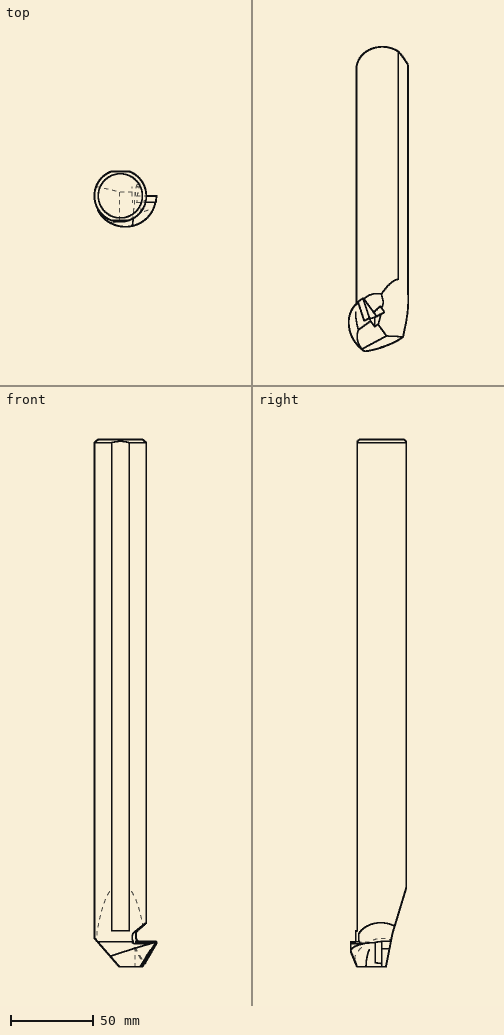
import math

import cadquery as cq


total_height = 321.52
shank_radius = 15.875
chamfer_height = 2.0
chamfer_width = 2.4
flat_distance = 14.95
flat_end_z = 22.0

total_width = 38.05
total_depth = 33.87
tip_reach_x = total_width - shank_radius
head_reach_y = total_depth - flat_distance

head_radius = head_reach_y
head_center_x = head_radius - shank_radius
ledge_z = 15.3

cone_center_x = 0.5
cone_bottom_radius = 15.1
cone_slope = 0.42

slant_angle = 49.0
slant_bottom_x = -0.6

slope_top_z = 48.0
slope_break_z = 20.4
slope_break_y = 6.6
slope_bottom_y = 2.6

gullet_wall_x = 8.9
gullet_floor_z = 15.0
gullet_corner_radius = 2.8
gullet_knee_z = 21.0
gullet_angle = 40.0
gullet_tilt_x = 0.11
gullet_tilt_z = 0.06

insert_inscribed_radius = 9.525 / 2
insert_thickness = 3.97
insert_nose_radius = 0.8
insert_relief = 7.0
insert_top_z = 15.5
flank_setback = 0.3
flank_relief = 7.0

nose_to_center = 2 * (insert_inscribed_radius - insert_nose_radius)
cos_30 = math.cos(math.radians(30))
insert_center_x = tip_reach_x - insert_nose_radius - nose_to_center * cos_30
insert_center_z = insert_top_z - insert_inscribed_radius

margin = 60.0


def make_shank():
    shank = cq.Workplane("XY").circle(shank_radius).extrude(total_height)
    shank = shank.faces(">Z").chamfer(chamfer_height, chamfer_width)
    for side in (-1, 1):
        slab = (
            cq.Workplane("XY", origin=(0, side * (flat_distance + margin / 2), flat_end_z))
            .rect(margin, margin)
            .extrude(total_height)
        )
        shank = shank.cut(slab)
    return shank


def make_head():
    return cq.Workplane("XY").center(head_center_x, 0).circle(head_radius).extrude(ledge_z)


def make_clearance_cone():
    top_radius = cone_bottom_radius + cone_slope * total_height
    outline = [(0, 0), (cone_bottom_radius, 0), (top_radius, total_height), (0, total_height)]
    cone = cq.Workplane("XZ").polyline(outline).close().revolve(360, (0, 0), (0, 1))
    return cone.translate((cone_center_x, 0, 0))


def make_slant_cut():
    rise = margin * math.tan(math.radians(slant_angle))
    outline = [(slant_bottom_x, 0), (slant_bottom_x - margin, rise), (slant_bottom_x - margin, 0)]
    return cq.Workplane("XZ").polyline(outline).close().extrude(margin, both=True)


def make_chip_slope():
    outline = [
        (slope_bottom_y, 0),
        (slope_break_y, slope_break_z),
        (flat_distance, slope_top_z),
        (margin, slope_top_z),
        (margin, 0),
    ]
    return cq.Workplane("YZ").polyline(outline).close().extrude(margin, both=True)


def make_gullet():
    gullet_plane = cq.Plane(
        origin=(gullet_wall_x, 0, gullet_floor_z),
        xDir=(1, -gullet_tilt_x, 0),
        normal=(-gullet_tilt_x, -1, -gullet_tilt_z),
    )
    knee = gullet_knee_z - gullet_floor_z
    rise = knee + margin * math.tan(math.radians(gullet_angle))
    outline = [(0, 0), (margin, 0), (margin, rise), (0, knee)]
    gullet = cq.Workplane(gullet_plane).polyline(outline).close().extrude(margin, both=True)
    for corner_z in (gullet_floor_z, gullet_knee_z):
        corner = cq.selectors.NearestToPointSelector((gullet_wall_x, 0, corner_z))
        gullet = gullet.edges(corner).fillet(gullet_corner_radius)
    return gullet


def make_rake_clearance():
    """Space in front of the rake face, below the gullet."""
    corner_frame = cq.Workplane("XY", origin=(gullet_wall_x, 0, 0))
    return corner_frame.rect(margin, margin, centered=False).extrude(ledge_z)


def insert_outline():
    """Triangle with rounded noses on the rake plane, one nose at the +X end and one pointing down."""
    corner_distance = 2 * insert_inscribed_radius
    corners = []
    for angle in (30, 150, 270):
        turn = math.radians(angle)
        corners.append(
            (
                insert_center_x + corner_distance * math.cos(turn),
                insert_center_z + corner_distance * math.sin(turn),
            )
        )
    sketch = cq.Sketch().polygon(corners + corners[:1]).vertices().fillet(insert_nose_radius)
    return cq.Workplane("XZ").placeSketch(sketch)


def make_insert():
    return insert_outline().extrude(insert_thickness, taper=insert_relief)


def make_flank_cut():
    """Holder clearance behind the 60 degree edge, leaning inward toward -Y."""
    lean = math.tan(math.radians(flank_relief))
    edge_distance = insert_inscribed_radius - flank_setback
    edge_plane = cq.Plane(
        origin=(
            insert_center_x + edge_distance * cos_30,
            0,
            insert_center_z - edge_distance / 2,
        ),
        xDir=(0.5, 0, cos_30),
        normal=(cos_30, -lean, -0.5),
    )
    return cq.Workplane(edge_plane).rect(2 * margin, 2 * margin).extrude(margin)


insert = make_insert()

holder = (
    make_shank()
    .union(make_head())
    .intersect(make_clearance_cone())
    .cut(make_slant_cut())
    .cut(make_chip_slope())
    .cut(make_gullet())
    .cut(make_rake_clearance())
    .cut(make_flank_cut())
    .cut(insert_outline().extrude(-margin))
    .cut(insert)
)

result = cq.Compound.makeCompound([holder.val(), insert.val()])